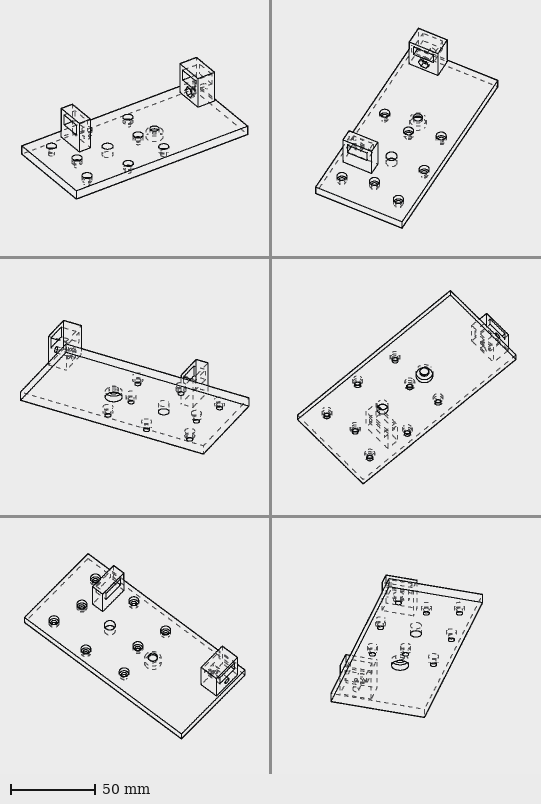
import cadquery as cq
import math

PLATE_WIDTH = 58.0
PLATE_LENGTH = 123.04
PLATE_THICKNESS = 6.0
PLATE_FRONT_Y = -42.0
PLATE_BACK_Y = PLATE_FRONT_Y + PLATE_LENGTH

CENTRE_HOLE_DIAMETER = 6.5
OFFSET_HOLE_DIAMETER = 5.5
OFFSET_HOLE_Y = 33.7
OFFSET_RECESS_DIAMETER = 10.1
OFFSET_RECESS_DEPTH = 4.0

SCREW_DIAMETER = 3.6
SCREW_HEAD_DIAMETER = 6.0
SCREW_HEAD_DEPTH = 3.4
SQUARE_SIDE = 31.0
CROSS_RADIUS = SQUARE_SIDE / math.sqrt(2)
CORNER_X = 18.95
CORNER_Y = 27.5

TOTAL_HEIGHT = 26.5
BLOCK_HEIGHT = TOTAL_HEIGHT - PLATE_THICKNESS
BLOCK_WIDTH = 19.3
BLOCK_CENTRE_X = -14.0
FRONT_BLOCK_DEPTH = 8.0
FRONT_BLOCK_Y = -17.3
BACK_BLOCK_DEPTH = 12.0
BACK_BLOCK_MARGIN = 1.2
BACK_BLOCK_Y = PLATE_BACK_Y - BACK_BLOCK_MARGIN - BACK_BLOCK_DEPTH
WINDOW_WIDTH = 13.2
WINDOW_HEIGHT = 7.0
WINDOW_TOP_WALL = 3.05

NUT_ACROSS_CORNERS = 6.9
NUT_DEPTH = 3.0
NUT_Z = 11.25


def make_box(width, depth, height):
    """Box centred on X that starts at Y = 0 and Z = 0."""
    return cq.Workplane("XY").box(width, depth, height, centered=(True, False, False))


def make_plate():
    plate = make_box(PLATE_WIDTH, PLATE_LENGTH, PLATE_THICKNESS)
    return plate.translate((0, PLATE_FRONT_Y, 0))


def make_block(front_y, depth):
    """Upright block on the plate, open through its window."""
    window_z = BLOCK_HEIGHT - WINDOW_TOP_WALL - WINDOW_HEIGHT
    window = make_box(WINDOW_WIDTH, depth, WINDOW_HEIGHT).translate((0, 0, window_z))
    block = make_box(BLOCK_WIDTH, depth, BLOCK_HEIGHT).cut(window)
    return block.translate((BLOCK_CENTRE_X, front_y, PLATE_THICKNESS))


def make_pins(points, diameter, bottom_z, top_z):
    """Vertical cylinders used to cut holes in the plate."""
    base = cq.Workplane("XY", origin=(0, 0, bottom_z))
    return base.pushPoints(points).circle(diameter / 2).extrude(top_z - bottom_z)


def cut_screw_holes(body):
    signs = (-1, 1)
    points = [(sign * CROSS_RADIUS, 0) for sign in signs]
    points += [(0, sign * CROSS_RADIUS) for sign in signs]
    points += [(x_sign * CORNER_X, y_sign * CORNER_Y) for x_sign in signs for y_sign in signs]
    head_seat_z = PLATE_THICKNESS - SCREW_HEAD_DEPTH
    body = body.cut(make_pins(points, SCREW_DIAMETER, 0, PLATE_THICKNESS))
    return body.cut(make_pins(points, SCREW_HEAD_DIAMETER, head_seat_z, PLATE_THICKNESS))


def cut_centreline_holes(body):
    offset_point = [(0, OFFSET_HOLE_Y)]
    body = body.cut(make_pins([(0, 0)], CENTRE_HOLE_DIAMETER, 0, PLATE_THICKNESS))
    body = body.cut(make_pins(offset_point, OFFSET_HOLE_DIAMETER, 0, PLATE_THICKNESS))
    return body.cut(make_pins(offset_point, OFFSET_RECESS_DIAMETER, 0, OFFSET_RECESS_DEPTH))


def cut_nut_pocket(body):
    face = cq.Workplane("XZ", origin=(BLOCK_CENTRE_X, BACK_BLOCK_Y, NUT_Z))
    pocket = face.polygon(6, NUT_ACROSS_CORNERS).extrude(-NUT_DEPTH)
    screw_hole = face.circle(SCREW_DIAMETER / 2).extrude(-BACK_BLOCK_DEPTH)
    return body.cut(pocket).cut(screw_hole)


plate = make_plate()
front_block = make_block(FRONT_BLOCK_Y, FRONT_BLOCK_DEPTH)
back_block = cut_nut_pocket(make_block(BACK_BLOCK_Y, BACK_BLOCK_DEPTH))
plate = cut_centreline_holes(cut_screw_holes(plate))
result = plate.union(front_block).union(back_block)